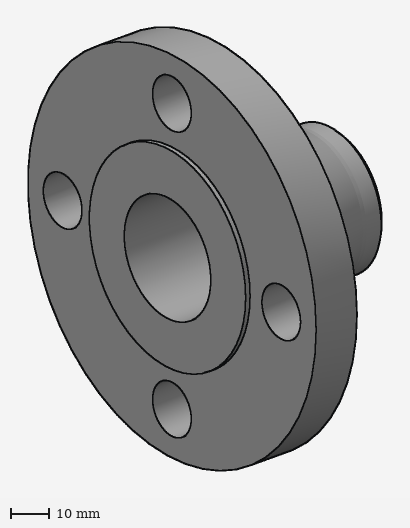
import cadquery as cq

flange_diameter = 117.3
total_length = 57.2
bore_diameter = 35.2

raised_face_diameter = 63.6
raised_face_height = 1.5
flange_thickness = 14.1
flange_back = raised_face_height + flange_thickness

bolt_count = 4
bolt_circle_diameter = 88.9
bolt_hole_diameter = 15.7

hub_base_diameter = 59.0
neck_diameter = 42.2
neck_length = 7.4
neck_start = total_length - neck_length
weld_chamfer = 1.6
blend_radius = 5.9


def flange_blank():
    """Revolve the half profile, with sharp corners, about the Y axis."""
    bore_radius = bore_diameter / 2
    neck_radius = neck_diameter / 2
    profile = [
        (bore_radius, 0),
        (raised_face_diameter / 2, 0),
        (raised_face_diameter / 2, raised_face_height),
        (flange_diameter / 2, raised_face_height),
        (flange_diameter / 2, flange_back),
        (hub_base_diameter / 2, flange_back),
        (neck_radius, neck_start),
        (neck_radius, total_length - weld_chamfer),
        (neck_radius - weld_chamfer, total_length),
        (bore_radius, total_length),
    ]
    return cq.Workplane("XY").polyline(profile).close().revolve(360, (0, 0, 0), (0, 1, 0))


def circle_at(radius, y):
    """Selector for the circular edge of this radius at height y on the axis."""
    margin = 0.1
    reach = radius + margin
    return cq.selectors.BoxSelector(
        (-reach, y - margin, -reach),
        (reach, y + margin, reach),
        boundingbox=True,
    )


def blend_hub(body):
    """Round both hollow corners of the hub: at the flange and at the neck."""
    hub_root = circle_at(hub_base_diameter / 2, flange_back)
    neck_root = circle_at(neck_diameter / 2, neck_start)
    return body.edges(hub_root + neck_root).fillet(blend_radius)


def bolt_holes():
    """Through-hole cutters, evenly spaced on the bolt circle."""
    return (
        cq.Workplane("XZ")
        .polarArray(bolt_circle_diameter / 2, 0, 360, bolt_count)
        .circle(bolt_hole_diameter / 2)
        .extrude(-total_length)
    )


result = blend_hub(flange_blank()).cut(bolt_holes())